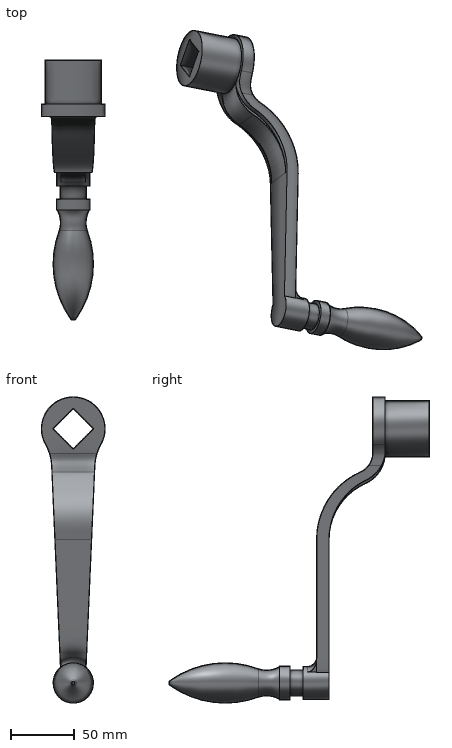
import cadquery as cq
import math

hub_radius = 22.2
hub_length = 34.7
head_radius = 25.0
thickness = 9.9
square_side = 22.5

crank_length = 200.0
crank_offset = 44.0
bend_start_z = -19.3
bend_end_z = -87.0
arm_half_width_at_hub = 18.3
arm_taper = 2.5
neck_blend_radius = 36.6
edge_thinning = 2.2
upper_middle_thinning = 1.5
lower_middle_thinning = 0.7
spine_half_width = 12.0

boss_radius = 13.0
boss_length = 20.5
boss_fillet = 7.2
boss_fillet_half_width = 9.6
spindle_radius = 10.4
spindle_length = 10.0
collar_radius = 13.3
collar_length = 8.5
waist_start_radius = 12.8
waist_radius = 10.0
waist_end_radius = 11.0
waist_reach = 9.9
waist_end_reach = 16.5
grip_radius = 16.0
grip_center_reach = 42.6
tip_radius = 2.5
tip_dome = 1.5
overall_length = 204.5

head_front = hub_length + thickness
arm_back = hub_length + crank_offset
arm_front = arm_back + thickness
boss_front = arm_back + boss_length

bend_drop = bend_start_z - bend_end_z
bend_angle = 2 * math.atan(crank_offset / bend_drop)
bend_radius_sum = bend_drop / math.sin(bend_angle)
upper_inner_radius = 16.1
upper_outer_radius = upper_inner_radius + thickness
lower_outer_radius = bend_radius_sum - upper_inner_radius
lower_inner_radius = lower_outer_radius - thickness
upper_center = (head_front + upper_inner_radius, bend_start_z)
lower_center = (arm_front - lower_outer_radius, bend_end_z)


def upper_point(radius, angle):
    """Point (Y, Z) on the upper bend, angle measured from the bend start."""
    return (upper_center[0] - radius * math.cos(angle), upper_center[1] - radius * math.sin(angle))


def lower_point(radius, angle):
    """Point (Y, Z) on the lower bend, angle measured from the bend end."""
    return (lower_center[0] + radius * math.cos(angle), lower_center[1] + radius * math.sin(angle))


def forward(point):
    """Turn a distance in front of the hub's rear end into a -Y coordinate."""
    return (-point[0], point[1])


def make_side_strip(half_width, junction_cut=0, upper_cut=0, lower_cut=0):
    """Strip following the S-bend; the cuts thin its back at three points of the bends."""
    half = bend_angle / 2
    return (
        cq.Workplane("YZ")
        .moveTo(-hub_length, head_radius)
        .lineTo(-head_front, head_radius)
        .lineTo(-head_front, bend_start_z)
        .threePointArc(forward(upper_point(upper_inner_radius, half)),
                       forward(upper_point(upper_inner_radius, bend_angle)))
        .threePointArc(forward(lower_point(lower_outer_radius, half)), (-arm_front, bend_end_z))
        .lineTo(-arm_front, -crank_length)
        .lineTo(-arm_back, -crank_length)
        .lineTo(-arm_back, bend_end_z)
        .threePointArc(forward(lower_point(lower_inner_radius + lower_cut, half)),
                       forward(lower_point(lower_inner_radius + junction_cut, bend_angle)))
        .threePointArc(forward(upper_point(upper_outer_radius - upper_cut, half)),
                       (-hub_length, bend_start_z))
        .close()
        .extrude(half_width, both=True)
    )


def make_front_outline():
    """Round head blended by concave arcs into the tapered arm."""
    taper = math.radians(arm_taper)
    side_distance = arm_half_width_at_hub * math.cos(taper) + neck_blend_radius
    center_angle = math.acos(side_distance / (head_radius + neck_blend_radius)) + taper
    center_x = (head_radius + neck_blend_radius) * math.cos(center_angle)
    center_z = -(head_radius + neck_blend_radius) * math.sin(center_angle)
    head_x = head_radius * math.cos(center_angle)
    head_z = -head_radius * math.sin(center_angle)
    side_x = center_x - neck_blend_radius * math.cos(taper)
    side_z = center_z + neck_blend_radius * math.sin(taper)
    middle = (center_angle + taper) / 2
    middle_x = center_x - neck_blend_radius * math.cos(middle)
    middle_z = center_z + neck_blend_radius * math.sin(middle)
    end_x = arm_half_width_at_hub - crank_length * math.tan(taper)
    return (
        cq.Workplane("XZ")
        .moveTo(-head_x, head_z)
        .threePointArc((0, head_radius), (head_x, head_z))
        .threePointArc((middle_x, middle_z), (side_x, side_z))
        .lineTo(end_x, -crank_length)
        .lineTo(-end_x, -crank_length)
        .lineTo(-side_x, side_z)
        .threePointArc((-middle_x, middle_z), (-head_x, head_z))
        .close()
        .extrude(overall_length)
    )


def make_arm():
    """Bent arm whose back edges are thinned beside a full-thickness central spine."""
    thinned = make_side_strip(head_radius, edge_thinning, upper_middle_thinning, lower_middle_thinning)
    spine = make_side_strip(spine_half_width)
    outline = make_front_outline()
    return thinned.intersect(outline).union(spine.intersect(outline))


def spin(profile):
    """Revolve a (radius, Y) profile about Y and move it to the handle axis."""
    return profile.close().revolve(360, (0, 0, 0), (0, 1, 0)).translate((0, 0, -crank_length))


def make_boss_fillet():
    """Concave blend between boss and arm face, kept within the arm's width."""
    outer = boss_radius + boss_fillet
    bow = boss_fillet * (1 - math.sqrt(0.5))
    ring = spin(
        cq.Workplane("XY")
        .moveTo(0, -arm_front)
        .lineTo(outer, -arm_front)
        .threePointArc((boss_radius + bow, -arm_front - bow), (boss_radius, -arm_front - boss_fillet))
        .lineTo(0, -arm_front - boss_fillet)
    )
    window = (
        cq.Workplane("XY")
        .box(2 * boss_fillet_half_width, overall_length, outer, centered=(True, False, False))
        .translate((0, -overall_length, -crank_length))
    )
    return ring.intersect(window)


def make_handle():
    """Boss, spindle, collar and barrel-shaped grip turned about one axis."""
    collar_start = boss_front + spindle_length
    collar_end = collar_start + collar_length
    grip_end = overall_length - tip_dome
    return spin(
        cq.Workplane("XY")
        .moveTo(0, -arm_back)
        .lineTo(boss_radius, -arm_back)
        .lineTo(boss_radius, -boss_front)
        .lineTo(spindle_radius, -boss_front)
        .lineTo(spindle_radius, -collar_start)
        .lineTo(collar_radius, -collar_start)
        .lineTo(collar_radius, -collar_end)
        .lineTo(waist_start_radius, -collar_end)
        .threePointArc((waist_radius, -collar_end - waist_reach),
                       (waist_end_radius, -collar_end - waist_end_reach))
        .threePointArc((grip_radius, -collar_end - grip_center_reach), (tip_radius, -grip_end))
        .lineTo(tip_radius / 2, -overall_length)
        .lineTo(0, -overall_length)
    )


hub = cq.Workplane("XZ").circle(hub_radius).extrude(head_front)
square_hole = (
    cq.Workplane("XZ")
    .transformed(rotate=(0, 0, 45))
    .rect(square_side, square_side)
    .extrude(head_front)
)

result = (
    make_arm()
    .union(hub)
    .union(make_handle())
    .union(make_boss_fillet())
    .cut(square_hole)
)